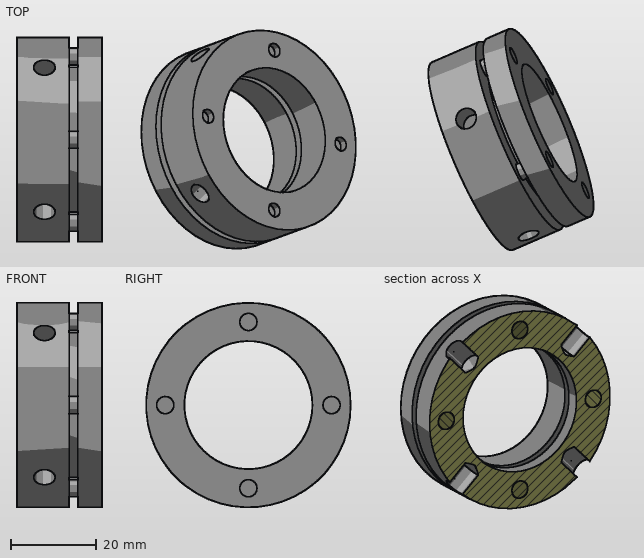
import cadquery as cq
import math

outer_radius = 24.0
bore_radius = 15.0
length = 20.0

housing_length = 12.3
groove_width = 2.0
neck_radius = 17.0

web_thickness = 1.0
rim_thickness = neck_radius - bore_radius
inner_groove_radius = outer_radius - rim_thickness
inner_groove_start = housing_length - web_thickness - groove_width

pin_count = 4
pin_circle_radius = 19.5
pin_radius = 2.0
access_hole_radius = 1.65
access_hole_depth = 2.0
pin_length = length - access_hole_depth

radial_hole_radius = 2.5
radial_hole_x = 6.5
radial_hole_depth = 6.0
drill_point_angle = 118
drill_point_height = radial_hole_radius / math.tan(math.radians(drill_point_angle / 2))
first_radial_hole_angle = 180 / pin_count


def cylinder_x(radius, start, depth, y=0.0, z=0.0):
    """Solid cylinder along +X that starts at x = start."""
    return cq.Workplane("YZ", origin=(start, y, z)).circle(radius).extrude(depth)


def ring_x(outer, inner, start, depth):
    """Solid ring around the X axis."""
    return cq.Workplane("YZ", origin=(start, 0, 0)).circle(outer).circle(inner).extrude(depth)


def pin_position(index):
    """Y and Z of a pin on the pin circle."""
    angle = math.radians(index * 360 / pin_count)
    return pin_circle_radius * math.cos(angle), pin_circle_radius * math.sin(angle)


def make_pin(index):
    """Plain pin that ends flush with the +X face."""
    y, z = pin_position(index)
    return cylinder_x(pin_radius, access_hole_depth, pin_length, y, z)


def make_radial_hole(index):
    """Cutter for one radial hole: its half profile revolved about the hole axis, then turned into place."""
    wall_end = outer_radius - radial_hole_depth
    cutter = (
        cq.Workplane("XZ", origin=(radial_hole_x, 0, 0))
        .moveTo(0, wall_end - drill_point_height)
        .lineTo(radial_hole_radius, wall_end)
        .lineTo(radial_hole_radius, outer_radius)
        .lineTo(0, outer_radius)
        .close()
        .revolve(360, (0, 0, 0), (0, 1, 0))
    )
    angle = first_radial_hole_angle + index * 360 / pin_count
    return cutter.rotate((0, 0, 0), (1, 0, 0), angle)


def make_body():
    """Ring with both grooves, the pin bores and the radial holes."""
    body = ring_x(outer_radius, bore_radius, 0, length)
    body = body.cut(ring_x(outer_radius, neck_radius, housing_length, groove_width))
    body = body.cut(ring_x(inner_groove_radius, bore_radius, inner_groove_start, groove_width))
    for index in range(pin_count):
        y, z = pin_position(index)
        body = body.cut(cylinder_x(access_hole_radius, 0, access_hole_depth, y, z))
        body = body.cut(make_pin(index))
        body = body.cut(make_radial_hole(index))
    return body


body = make_body()
pins = [make_pin(index).val() for index in range(pin_count)]
result = cq.Compound.makeCompound([body.val(), *pins])